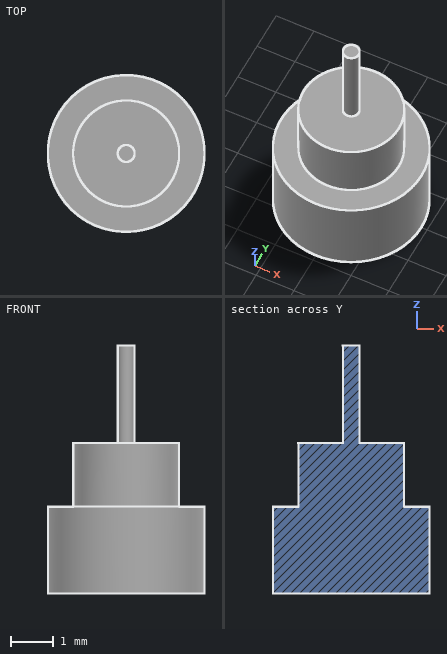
import cadquery as cq

base_diameter = 3.7
collar_diameter = 2.5
insulator_diameter = 1.95
pin_diameter = 0.4

collar_height = 1.5
pin_length = 2.3
overall_height = 5.85

base_height = overall_height - collar_height - pin_length
collar_top = base_height + collar_height


def cylinder(diameter, bottom, top):
    """Upright cylinder on the Z axis between two levels."""
    return cq.Workplane("XY").workplane(offset=bottom).circle(diameter / 2).extrude(top - bottom)


def make_shell():
    """Stepped body: wide base, narrower collar, and a bore in the collar for the insulator."""
    base = cylinder(base_diameter, 0, base_height)
    collar = cylinder(collar_diameter, base_height, collar_top)
    bore = cylinder(insulator_diameter, base_height, collar_top)
    return base.union(collar).cut(bore)


def make_insulator():
    """Disc that fills the collar bore, flush with the collar top."""
    return cylinder(insulator_diameter, base_height, collar_top)


def make_pin():
    """Thin centre pin standing on the insulator."""
    return cylinder(pin_diameter, collar_top, overall_height)


result = make_shell().union(make_insulator(), clean=False).union(make_pin(), clean=False)